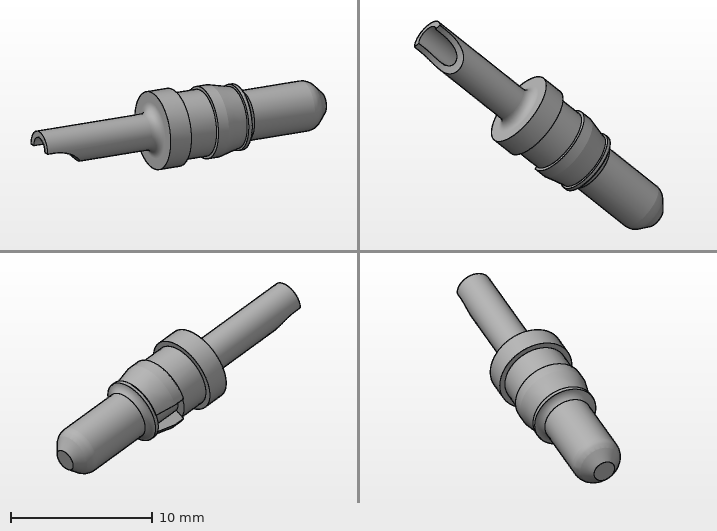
import cadquery as cq
import math


STEM_DIA = 2.6
BORE_DIA = 1.7
FLANGE_DIA = 5.6
BODY_DIA = 4.8
GROOVE_DIA = 3.6
RIM_DIA = 4.75
PIN_DIA = 3.6
NOSE_TIP_DIA = 1.6
COLLAR_DIA = 5.2
COLLAR_SMALL_DIA = 4.45

TOTAL_LENGTH = 22.4
STEM_LENGTH = 9.0
FLANGE_WIDTH = 1.65
BODY_LENGTH = 2.2
GROOVE_WIDTH = 2.57
RIM_WIDTH = 0.28
SHOULDER_LENGTH = 0.47
COLLAR_GAP = 0.05
COLLAR_BAND_WIDTH = 0.85

STEM_FILLET = 0.7
NOSE_ROUND = 1.0
SHOULDER_RADIUS = 0.7

NOSE_ANGLE = 45.0

BORE_DEPTH = 5.0
DRILL_POINT_ANGLE = 118.0
CUP_CUT_LENGTH = 3.0
CUP_CUT_RADIUS = 3.0

SLOT_ANGLE = 45.0

STEM_END = -STEM_LENGTH
BODY_START = FLANGE_WIDTH
GROOVE_START = BODY_START + BODY_LENGTH
GROOVE_END = GROOVE_START + GROOVE_WIDTH
RIM_END = GROOVE_END + RIM_WIDTH
PIN_START = RIM_END + SHOULDER_LENGTH
NOSE_END = TOTAL_LENGTH - STEM_LENGTH


def revolve_about_y(profile):
    return profile.close().revolve(360, (0, 0, 0), (0, 1, 0))


def make_core():
    """Stem, flange, body, groove, rim and contact pin as one turned shape."""
    stem_r = STEM_DIA / 2
    flange_r = FLANGE_DIA / 2
    body_r = BODY_DIA / 2
    groove_r = GROOVE_DIA / 2
    rim_r = RIM_DIA / 2
    pin_r = PIN_DIA / 2
    tip_r = NOSE_TIP_DIA / 2

    nose_slope = math.radians(NOSE_ANGLE)
    cone_r = pin_r - NOSE_ROUND * (1 - math.cos(nose_slope))
    cone_start = NOSE_END - (cone_r - tip_r) / math.tan(nose_slope)
    nose_start = cone_start - NOSE_ROUND * math.sin(nose_slope)

    profile = (
        cq.Workplane("XY")
        .moveTo(0, STEM_END)
        .lineTo(stem_r, STEM_END)
        .lineTo(stem_r, -STEM_FILLET)
        .radiusArc((stem_r + STEM_FILLET, 0), STEM_FILLET)
        .lineTo(flange_r, 0)
        .lineTo(flange_r, BODY_START)
        .lineTo(body_r, BODY_START)
        .lineTo(body_r, GROOVE_START)
        .lineTo(groove_r, GROOVE_START)
        .lineTo(groove_r, GROOVE_END)
        .lineTo(rim_r, GROOVE_END)
        .lineTo(rim_r, RIM_END)
        .radiusArc((pin_r, PIN_START), SHOULDER_RADIUS)
        .lineTo(pin_r, nose_start)
        .radiusArc((cone_r, cone_start), -NOSE_ROUND)
        .lineTo(tip_r, NOSE_END)
        .lineTo(0, NOSE_END)
    )
    return revolve_about_y(profile)


def make_collar():
    """Split collar in the groove: a straight band, then a taper towards the rim."""
    inner_r = GROOVE_DIA / 2
    band_r = COLLAR_DIA / 2
    start = GROOVE_START + COLLAR_GAP
    end = GROOVE_END - COLLAR_GAP
    profile = (
        cq.Workplane("XY")
        .moveTo(inner_r, start)
        .lineTo(band_r, start)
        .lineTo(band_r, start + COLLAR_BAND_WIDTH)
        .lineTo(COLLAR_SMALL_DIA / 2, end)
        .lineTo(inner_r, end)
    )
    return revolve_about_y(profile).cut(make_collar_slot())


def make_collar_slot():
    """Wedge with its edge on the pin axis, opening towards -X."""
    reach = COLLAR_DIA
    half_width = reach * math.tan(math.radians(SLOT_ANGLE / 2))
    return (
        cq.Workplane("XZ", origin=(0, GROOVE_START, 0))
        .polyline([(0, 0), (-reach, half_width), (-reach, -half_width)])
        .close()
        .extrude(-GROOVE_WIDTH)
    )


def make_bore():
    """Blind bore in the stem end with a drill-point bottom."""
    bore_r = BORE_DIA / 2
    bottom = STEM_END + BORE_DEPTH
    point_length = bore_r / math.tan(math.radians(DRILL_POINT_ANGLE / 2))
    profile = (
        cq.Workplane("XY")
        .moveTo(0, STEM_END)
        .lineTo(bore_r, STEM_END)
        .lineTo(bore_r, bottom)
        .lineTo(0, bottom + point_length)
    )
    return revolve_about_y(profile)


def make_cup_cut():
    """Removes the lower half of the stem end, running out along an arc."""
    stem_r = STEM_DIA / 2
    arc_run = math.sqrt(CUP_CUT_RADIUS**2 - (CUP_CUT_RADIUS - stem_r) ** 2)
    runout = STEM_END + CUP_CUT_LENGTH
    return (
        cq.Workplane("YZ")
        .moveTo(STEM_END, 0)
        .lineTo(runout - arc_run, 0)
        .radiusArc((runout, -stem_r), CUP_CUT_RADIUS)
        .lineTo(STEM_END, -stem_r)
        .close()
        .extrude(stem_r, both=True)
    )


result = make_core().union(make_collar()).cut(make_bore()).cut(make_cup_cut())